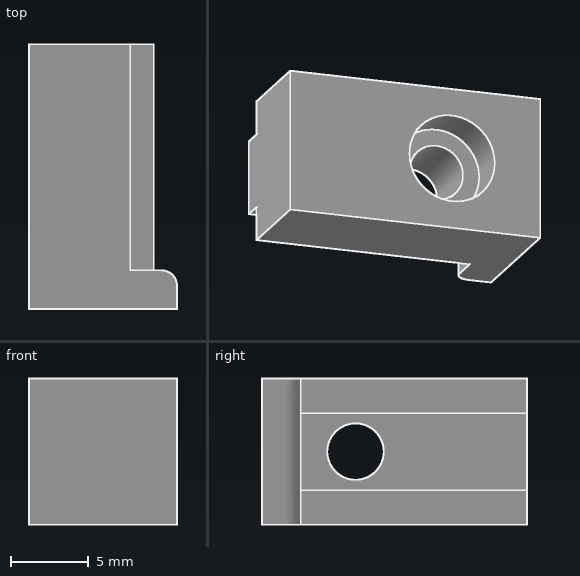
import cadquery as cq

length = 17.0
height = 9.4
body_width = 6.51
flange_width = 9.5
flange_thickness = 2.5
flange_corner_radius = 1.0

tongue_width = 1.5
tongue_height = 4.93

hole_diameter = 3.6
counterbore_diameter = 5.8
counterbore_depth = 3.0
hole_from_front = 6.0

mid_height = height / 2


def box_from(x, y, z, size_x, size_y, size_z):
    """Box with its lowest corner at (x, y, z)."""
    return cq.Workplane("XY").box(size_x, size_y, size_z, centered=False).translate((x, y, z))


def cross_bore(diameter, depth):
    """Cylinder entering the body from its flat -X face."""
    return (
        cq.Workplane("YZ")
        .center(hole_from_front, mid_height)
        .circle(diameter / 2)
        .extrude(depth)
    )


body = box_from(0, 0, 0, body_width, length, height)

flange = box_from(0, 0, 0, flange_width, flange_thickness, height)
flange = flange.edges("|Z and >X and >Y").fillet(flange_corner_radius)

tongue = box_from(body_width, 0, mid_height - tongue_height / 2, tongue_width, length, tongue_height)

result = (
    body.union(flange)
    .union(tongue)
    .cut(cross_bore(hole_diameter, body_width + tongue_width))
    .cut(cross_bore(counterbore_diameter, counterbore_depth))
)